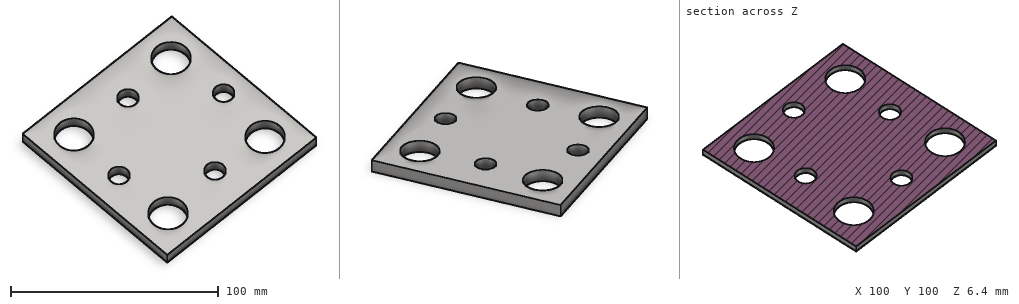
import cadquery as cq

plate_side = 100.0
plate_thickness = 6.4

large_hole_diameter = 19.05
large_hole_spacing = 65.03

small_hole_diameter = 10.41
small_hole_spacing_x = 60.17
small_hole_spacing_y = 70.1
small_pattern_offset_y = 1.2
x_pair_offset_x = 0.11


def make_plate():
    return cq.Workplane("XY").box(
        plate_side, plate_side, plate_thickness, centered=(True, True, False)
    )


def hole_cutters(centers, diameter):
    """Cylinders through the full plate thickness at the given centers."""
    return cq.Workplane("XY").pushPoints(centers).circle(diameter / 2).extrude(plate_thickness)


def large_hole_centers():
    half = large_hole_spacing / 2
    return [(x, y) for x in (-half, half) for y in (-half, half)]


def small_hole_centers():
    half_x = small_hole_spacing_x / 2
    half_y = small_hole_spacing_y / 2
    return [
        (x_pair_offset_x - half_x, small_pattern_offset_y),
        (x_pair_offset_x + half_x, small_pattern_offset_y),
        (0, small_pattern_offset_y - half_y),
        (0, small_pattern_offset_y + half_y),
    ]


result = (
    make_plate()
    .cut(hole_cutters(large_hole_centers(), large_hole_diameter))
    .cut(hole_cutters(small_hole_centers(), small_hole_diameter))
)